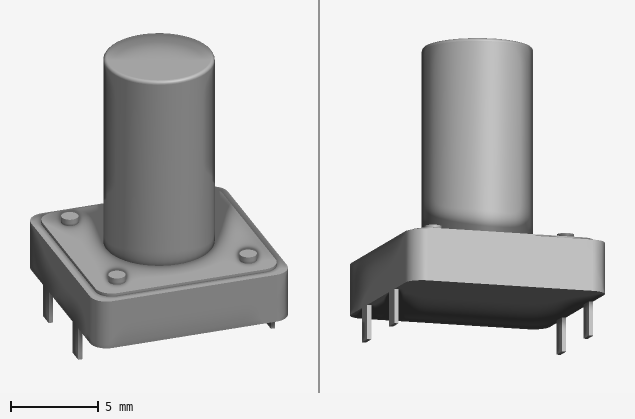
import cadquery as cq

housing_side = 12.0
housing_height = 3.0
housing_corner_radius = 1.0

cover_margin = 0.5
cover_side = housing_side - 2 * cover_margin
cover_thickness = 0.2
cover_corner_radius = 1.0

button_diameter = 6.4
button_top = 15.0
button_edge_radius = 0.2

rivet_diameter = 1.0
rivet_spacing = 8.0
rivet_height = 0.4

leg_width = 1.0
leg_thickness = 0.25
leg_length = 2.0
leg_spacing = 5.0


def rounded_square(side, corner_radius, bottom, height):
    """Square plate centred on the Z axis with rounded vertical edges."""
    plate = cq.Workplane("XY").workplane(offset=bottom).rect(side, side).extrude(height)
    return plate.edges("|Z").fillet(corner_radius)


def make_button():
    """Round button standing on the housing, with a rounded top edge."""
    base = cq.Workplane("XY").workplane(offset=housing_height)
    button = base.circle(button_diameter / 2).extrude(button_top - housing_height)
    return button.faces(">Z").edges().fillet(button_edge_radius)


def make_rivets():
    """Four rivet heads, rooted in the cover so that they join it."""
    base = cq.Workplane("XY").workplane(offset=housing_height)
    centres = base.rarray(rivet_spacing, rivet_spacing, 2, 2)
    return centres.circle(rivet_diameter / 2).extrude(cover_thickness + rivet_height)


def make_legs():
    """Four flat legs hanging from the underside of the housing."""
    row_spacing = housing_side - leg_thickness
    centres = cq.Workplane("XY").rarray(leg_spacing, row_spacing, 2, 2)
    return centres.rect(leg_width, leg_thickness).extrude(-leg_length)


housing = rounded_square(housing_side, housing_corner_radius, 0, housing_height)
cover = rounded_square(cover_side, cover_corner_radius, housing_height, cover_thickness)

result = housing.union(cover).union(make_button()).union(make_rivets()).union(make_legs())